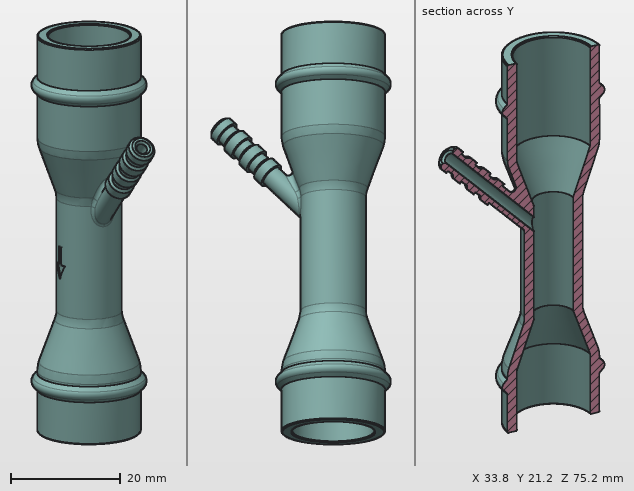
import cadquery as cq
import math

height = 75.2
socket_radius = 19.0 / 2
throat_radius = 12.0 / 2
mouth_bore_radius = 15.0 / 2
throat_bore_radius = 8.0 / 2
rim_chamfer = 0.2

lower_cone_start = 12.4
lower_cone_end = 22.05
upper_cone_start = 45.2
upper_cone_end = 54.9
cone_blend = 5.0

ring_heights = (9.55, 65.75)
ring_radius = 21.15 / 2
ring_half_width = 1.5
ring_cap_half_width = 0.75
ring_cap_rise = 0.3

nozzle_origin_z = 37.5
nozzle_angle = 45.0
nozzle_length = 30.8
stem_radius = 4.0 / 2
barb_radius = 5.0 / 2
barb_count = 4
barb_length = 2.5
tip_barb_length = 2.1
barb_pitch = 4.0
barb_chamfer = barb_radius - stem_radius
nozzle_bore_radius = 2.0 / 2
nozzle_mouth_chamfer = 0.45
nozzle_fillet = 0.75

arrow_top = 35.7
arrow_shoulder = 32.35
arrow_tip = 29.65
arrow_shaft_width = 1.05
arrow_head_width = 3.15
arrow_depth = 0.3


def revolve_about_z(profile):
    """Revolve an XZ profile a full turn about the Z axis."""
    return profile.revolve(360, (0, 0, 0), (0, 1, 0))


def stepped_solid(socket, throat):
    """Wide ends joined to a narrow middle by two cones."""
    outline = [
        (0, 0),
        (socket, 0),
        (socket, lower_cone_start),
        (throat, lower_cone_end),
        (throat, upper_cone_start),
        (socket, upper_cone_end),
        (socket, height),
        (0, height),
    ]
    return revolve_about_z(cq.Workplane("XZ").polyline(outline).close())


def make_body():
    corner_heights = (lower_cone_start, lower_cone_end, upper_cone_start, upper_cone_end)
    body = stepped_solid(socket_radius, throat_radius)
    body = body.faces("<Z or >Z").edges().chamfer(rim_chamfer)
    corners = body.edges("%CIRCLE").filter(
        lambda edge: any(abs(edge.Center().z - z) < 0.01 for z in corner_heights)
    )
    return corners.fillet(cone_blend)


def make_ring(z):
    cap_radius = ring_radius - ring_cap_rise
    profile = (
        cq.Workplane("XZ")
        .moveTo(throat_radius, z - ring_half_width)
        .lineTo(socket_radius, z - ring_half_width)
        .lineTo(cap_radius, z - ring_cap_half_width)
        .threePointArc((ring_radius, z), (cap_radius, z + ring_cap_half_width))
        .lineTo(socket_radius, z + ring_half_width)
        .lineTo(throat_radius, z + ring_half_width)
        .close()
    )
    return revolve_about_z(profile)


def place_on_nozzle_axis(solid):
    """Tilt a solid built along +Z onto the nozzle axis."""
    return solid.rotate((0, 0, 0), (0, 1, 0), nozzle_angle).translate((0, 0, nozzle_origin_z))


def make_stem():
    return place_on_nozzle_axis(cq.Workplane("XY").circle(stem_radius).extrude(nozzle_length))


def make_barb(index):
    """Collar with its outer end tapered to the stem; index 0 is the shorter one at the tip."""
    start = nozzle_length - tip_barb_length - index * barb_pitch
    length = tip_barb_length if index == 0 else barb_length
    barb = cq.Workplane("XY").workplane(offset=start).circle(barb_radius).extrude(length)
    return place_on_nozzle_axis(barb.faces(">Z").edges().chamfer(barb_chamfer))


def make_nozzle_bore():
    mouth_radius = nozzle_bore_radius + nozzle_mouth_chamfer
    outline = [
        (0, 0),
        (nozzle_bore_radius, 0),
        (nozzle_bore_radius, nozzle_length - nozzle_mouth_chamfer),
        (mouth_radius, nozzle_length),
        (0, nozzle_length),
    ]
    return place_on_nozzle_axis(revolve_about_z(cq.Workplane("XZ").polyline(outline).close()))


def make_mouth_chamfers():
    """Cones that break the inner edge of both tube mouths."""
    cone = cq.Solid.makeCone(mouth_bore_radius + rim_chamfer, mouth_bore_radius, rim_chamfer)
    lower = cq.Workplane(cone)
    return lower.union(lower.mirror("XY").translate((0, 0, height)))


def make_arrow():
    shaft = arrow_shaft_width / 2
    head = arrow_head_width / 2
    outline = [
        (-shaft, arrow_top),
        (shaft, arrow_top),
        (shaft, arrow_shoulder),
        (head, arrow_shoulder),
        (0, arrow_tip),
        (-head, arrow_shoulder),
        (-shaft, arrow_shoulder),
    ]
    prism = cq.Workplane("XZ").polyline(outline).close().extrude(throat_radius + 0.75)
    floor = cq.Workplane("XY").circle(throat_radius - arrow_depth).extrude(height)
    return prism.cut(floor)


stem_top_z = nozzle_origin_z + nozzle_length * math.cos(math.radians(nozzle_angle)) / 2
seam_zone = cq.selectors.BoxSelector(
    (throat_radius / 2, -stem_radius - 0.75, nozzle_origin_z),
    (socket_radius, stem_radius + 0.75, stem_top_z),
)
body = make_body()
joined = body.union(make_stem())
result = joined.edges(seam_zone).fillet(nozzle_fillet)

for ring_z in ring_heights:
    result = result.union(make_ring(ring_z))
for barb_index in range(barb_count):
    result = result.union(make_barb(barb_index))

result = result.cut(stepped_solid(mouth_bore_radius, throat_bore_radius))
result = result.cut(make_mouth_chamfers())
result = result.cut(make_nozzle_bore())
result = result.cut(make_arrow())